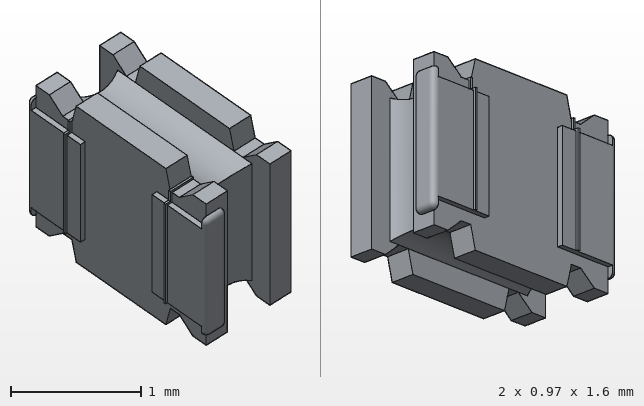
import cadquery as cq

bobbin_depth = 0.9
core_depth = bobbin_depth / 2
flange_thickness = (bobbin_depth - core_depth) / 2
flange_front = -bobbin_depth / 2
flange_rear = flange_front + flange_thickness

flange_half_width = 0.95
tongue_half_height = 0.8
tongue_tip_half_width = 0.5
notch_inner_x = 0.55
notch_outer_x = 0.65
notch_floor_z = 0.6
ear_inner_x = 0.8
ear_half_height = 0.725

core_half_width = 0.75
core_half_height = 0.6
waist_dip = 0.05

terminal_thickness = 0.05
pad_inner_x = 0.4
pad_half_height = 0.5
terminal_front = flange_front - terminal_thickness
cap_half_height = 0.6
cap_rear = flange_rear - terminal_thickness

wire_size = 0.02


def block(x_range, y_range, z_range):
    """Box spanning the given (low, high) pairs."""
    spans = (x_range, y_range, z_range)
    sizes = [high - low for low, high in spans]
    corner = tuple(low for low, high in spans)
    return cq.Workplane("XY").box(*sizes, centered=False).translate(corner)


def flange(front_y):
    """Plate with a tapered tongue, a notch and an ear, the same in all four quarters."""
    quarter = [
        (tongue_tip_half_width, tongue_half_height),
        (notch_inner_x, notch_floor_z),
        (notch_outer_x, notch_floor_z),
        (ear_inner_x, ear_half_height),
        (flange_half_width, ear_half_height),
    ]
    right_side = quarter + [(x, -z) for x, z in reversed(quarter)]
    left_side = [(-x, z) for x, z in reversed(right_side)]
    outline = cq.Workplane("XZ", origin=(0, front_y, 0)).polyline(right_side + left_side).close()
    return outline.extrude(-flange_thickness)


def waisted_prism(plane, half_size, half_length):
    """Bar with two hollow sides, drawn on a plane whose vertical direction is Y."""
    end_y = core_depth / 2
    waist = half_size - waist_dip
    return (
        cq.Workplane(plane)
        .moveTo(-half_size, -end_y)
        .lineTo(half_size, -end_y)
        .threePointArc((waist, 0), (half_size, end_y))
        .lineTo(-half_size, end_y)
        .threePointArc((-waist, 0), (-half_size, -end_y))
        .close()
        .extrude(half_length, both=True)
    )


def core():
    """Rectangular core whose four sides are all hollowed by arcs."""
    hollow_in_x = waisted_prism("XY", core_half_width, core_half_height)
    hollow_in_z = waisted_prism("ZY", core_half_height, core_half_width)
    return hollow_in_x.intersect(hollow_in_z)


def pad():
    """Flat terminal on the front face of the flange, on the +X side."""
    return block(
        (pad_inner_x, flange_half_width),
        (terminal_front, flange_front),
        (-pad_half_height, pad_half_height),
    )


def end_cap():
    """Rounded terminal on the +X end, the outer slice of a box with all edges rounded."""
    outer_x = flange_half_width + terminal_thickness
    y_range = (terminal_front, cap_rear)
    z_range = (-cap_half_height, cap_half_height)
    inner_x = flange_half_width - 2 * terminal_thickness
    rounded = block((inner_x, outer_x), y_range, z_range).edges().fillet(terminal_thickness)
    return rounded.intersect(block((flange_half_width, outer_x), y_range, z_range))


def wire():
    """Lead stepping from the notch floor down the flange face and onto the pad, on the +X side."""
    path = [
        (flange_rear, notch_floor_z),
        (flange_rear, notch_floor_z + wire_size),
        (flange_front - wire_size, notch_floor_z + wire_size),
        (flange_front - wire_size, pad_half_height + wire_size),
        (terminal_front - wire_size, pad_half_height + wire_size),
        (terminal_front - wire_size, -pad_half_height),
        (terminal_front, -pad_half_height),
        (terminal_front, pad_half_height),
        (flange_front, pad_half_height),
        (flange_front, notch_floor_z),
    ]
    return cq.Workplane("YZ", origin=(notch_inner_x, 0, 0)).polyline(path).close().extrude(wire_size)


result = core().union(flange(flange_front)).union(flange(core_depth / 2))
for terminal_part in (pad(), end_cap(), wire()):
    result = result.union(terminal_part).union(terminal_part.mirror("YZ"))